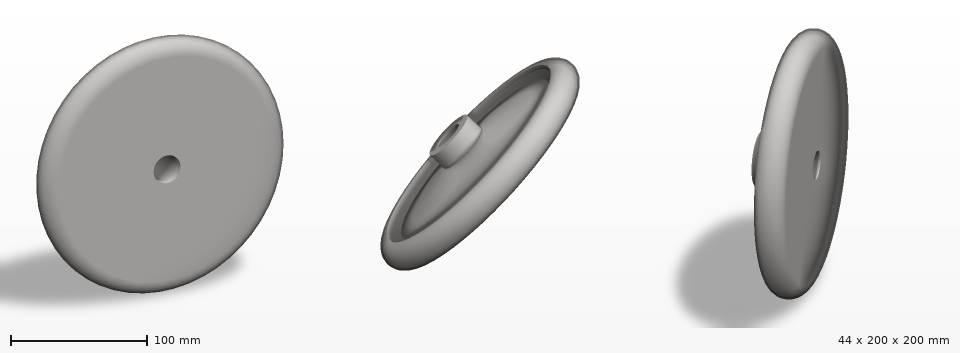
import cadquery as cq
import math

wheel_diameter = 200.0
overall_width = 44.0
rim_width = 23.4
hub_diameter = 40.0
bore_diameter = 22.0
hub_projection = 14.4
web_slope = 0.22
web_radius = 78.0
shoulder_radius = 85.0
shoulder_rise = 3.4
rim_inner_radius = 86.4

wheel_radius = wheel_diameter / 2
hub_radius = hub_diameter / 2
rim_section_radius = rim_width / 2
rim_center_x = overall_width - rim_section_radius
rim_center_radius = wheel_radius - rim_section_radius
web_edge_x = hub_projection + web_slope * (web_radius - hub_radius)
shoulder_x = web_edge_x - shoulder_rise
rim_inset = rim_center_radius - rim_inner_radius
rim_start_x = rim_center_x - math.sqrt(rim_section_radius**2 - rim_inset**2)


def wheel_body():
    """Revolve the half section: hub, dished web, shoulder and round rim with a flat back."""
    profile = (
        cq.Workplane("XY")
        .lineTo(0, hub_radius)
        .lineTo(hub_projection, hub_radius)
        .lineTo(web_edge_x, web_radius)
        .lineTo(shoulder_x, shoulder_radius)
        .lineTo(rim_start_x, rim_inner_radius)
        .threePointArc((rim_center_x, wheel_radius), (overall_width, rim_center_radius))
        .lineTo(overall_width, 0)
        .close()
    )
    return profile.revolve(360, (0, 0, 0), (1, 0, 0))


def shaft_bore():
    """Plain bore through the full width."""
    return cq.Workplane("YZ").circle(bore_diameter / 2).extrude(overall_width)


result = wheel_body().cut(shaft_bore())